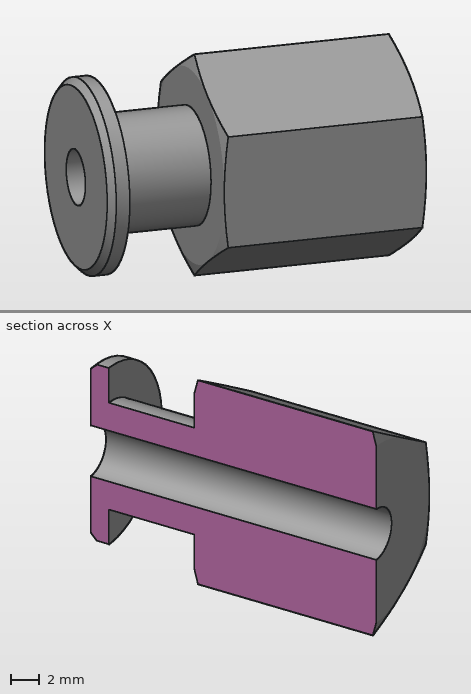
import cadquery as cq
import math

total_length = 23.5
across_flats = 14.0
hex_length = 15.0
flange_thickness = 1.5
flange_chamfer = 0.5
neck_diameter = 8.5
bore_diameter = 4.0
corner_chamfer_angle = 15.0

across_corners = across_flats / math.cos(math.radians(30))
flat_radius = across_flats / 2
corner_radius = across_corners / 2
corner_drop = (corner_radius - flat_radius) * math.tan(math.radians(corner_chamfer_angle))
hex_start = total_length - hex_length


def cylinder(diameter, start, end):
    """Solid cylinder along +Y between two stations on the axis."""
    plane = cq.Workplane("XZ", origin=(0, start, 0))
    return plane.circle(diameter / 2).extrude(start - end)


def hexagon_body():
    """Hexagonal prism with corners along Z and conically chamfered ends."""
    prism = (
        cq.Workplane("XZ", origin=(0, hex_start, 0))
        .polygon(6, across_corners)
        .extrude(-hex_length)
        .rotate((0, 0, 0), (0, 1, 0), 30)
    )
    envelope = (
        cq.Workplane("XY")
        .moveTo(0, hex_start)
        .lineTo(flat_radius, hex_start)
        .lineTo(corner_radius, hex_start + corner_drop)
        .lineTo(corner_radius, total_length - corner_drop)
        .lineTo(flat_radius, total_length)
        .lineTo(0, total_length)
        .close()
        .revolve(360, (0, 0, 0), (0, 1, 0))
    )
    return prism.intersect(envelope)


flange = cylinder(across_flats, 0, flange_thickness).faces("<Y").chamfer(flange_chamfer)
neck = cylinder(neck_diameter, flange_thickness, hex_start)
bore = cylinder(bore_diameter, 0, total_length)

result = hexagon_body().union(neck).union(flange).cut(bore)